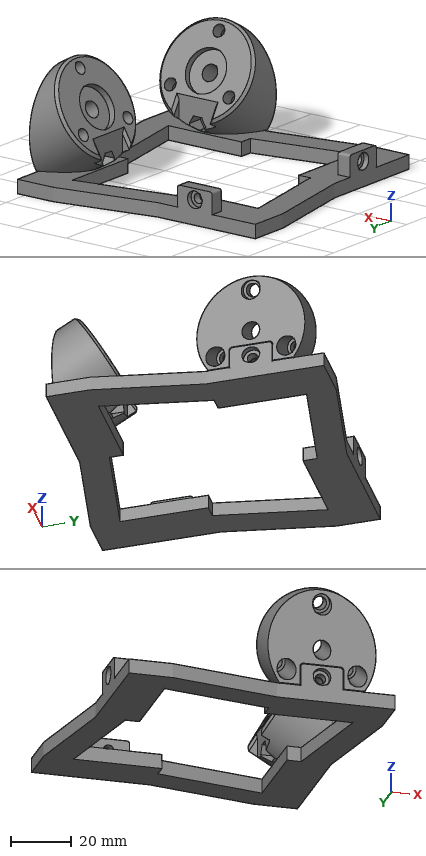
import cadquery as cq
import math

FRAME_SIZE = 100.0
CORNER_SETBACK = 7.0
BASE_THICKNESS = 5.0
PAD_WIDTH = 15.0
ARM_WIDTH = 10.0
PAD_END = -9.6

TAB_OFFSET = 25.0
TAB_WIDTH = 14.4
TAB_THICKNESS = 5.0
TAB_TOP = 12.7
TAB_FILLET = 1.0
SCREW_HEIGHT = 8.8
SCREW_DIAMETER = 3.5
SCREW_HEAD_DIAMETER = 6.0
SCREW_HEAD_DEPTH = 2.0

MOUNT_DIAMETER = 37.0
MOUNT_TILT = 30.0
FACE_SETBACK = 14.0
FACE_HEIGHT = 26.4
FACE_CHAMFER = 1.0
MOUNT_LENGTH = 60.0
FIT_GAP = 0.3

RECESS_DIAMETER = 16.0
RECESS_DEPTH = 2.5
CENTRE_HOLE_DIAMETER = 6.0
BOLT_CIRCLE_RADIUS = 14.0
BOLT_COUNT = 3
BOLT_DIAMETER = 4.5
BOLT_HEAD_DIAMETER = 6.5
BOLT_GRIP = 5.0

NOTCH_WIDTH = 15.0
NOTCH_WALL = 18.7
NUT_ACROSS_FLATS = 5.8
NUT_POCKET_DEPTH = 6.0

HALF = FRAME_SIZE / 2
SIDE = HALF - CORNER_SETBACK
PAD_INNER = SIDE - PAD_WIDTH
ARM_SLOPE = CORNER_SETBACK / (PAD_INNER - PAD_END)
ARM_SPAN = ARM_WIDTH * math.hypot(1, ARM_SLOPE)


def quarter_turned(points, turns):
    """Turn points clockwise about the origin by a number of quarter turns."""
    for _ in range(turns):
        points = [(y, -x) for x, y in points]
    return points


def ring(points):
    """Repeat one side's points on all four sides."""
    return [p for turns in range(4) for p in quarter_turned(points, turns)]


def arm_inner_edge(x):
    return SIDE + ARM_SLOPE * (x - PAD_END) - ARM_SPAN


def box(x_size, y_min, y_max, z_min, z_max):
    """Box centred on the YZ plane."""
    return (
        cq.Workplane("XY", origin=(0, (y_min + y_max) / 2, z_min))
        .box(x_size, y_max - y_min, z_max - z_min, centered=(True, True, False))
    )


def screw_line(diameter, y_min, y_max):
    """Cylinder along Y at the screw height."""
    return (
        cq.Workplane("XZ", origin=(0, y_min, SCREW_HEIGHT))
        .circle(diameter / 2)
        .extrude(y_min - y_max)
    )


def place_on_side(body, turns):
    """Move a body with its outer face on y = 0 to the tab position of a side."""
    return body.translate((TAB_OFFSET, -SIDE, 0)).rotate((0, 0, 0), (0, 0, 1), 90 * turns)


def make_tab():
    tab = box(TAB_WIDTH, 0, TAB_THICKNESS, 0, TAB_TOP)
    return tab.edges("|Y and >Z").fillet(TAB_FILLET)


def make_frame():
    outer = [(-HALF, SIDE), (PAD_END, SIDE), (PAD_INNER, HALF)]
    inner_corner = arm_inner_edge(PAD_INNER)
    inner = [(-inner_corner, PAD_INNER), (PAD_END, PAD_INNER), (PAD_END, arm_inner_edge(PAD_END))]
    frame = (
        cq.Workplane("XY")
        .polyline(ring(outer)).close()
        .polyline(ring(inner)).close()
        .extrude(BASE_THICKNESS)
    )
    hole = screw_line(SCREW_DIAMETER, 0, TAB_THICKNESS)
    hole = hole.union(screw_line(SCREW_HEAD_DIAMETER, 0, SCREW_HEAD_DEPTH))
    for turns in range(4):
        frame = frame.union(place_on_side(make_tab(), turns))
        frame = frame.cut(place_on_side(hole, turns))
    return frame


def face_plane():
    tilt = math.radians(MOUNT_TILT)
    return cq.Plane(
        origin=(0, FACE_SETBACK, FACE_HEIGHT),
        xDir=(1, 0, 0),
        normal=(0, math.cos(tilt), math.sin(tilt)),
    )


def cut_face_holes(mount):
    face = cq.Workplane(face_plane())
    seat = face.workplane(offset=-BOLT_GRIP)
    mount = mount.cut(face.circle(RECESS_DIAMETER / 2).extrude(-RECESS_DEPTH))
    mount = mount.cut(face.circle(CENTRE_HOLE_DIAMETER / 2).extrude(-MOUNT_LENGTH))
    return mount.cut(bolts(face, BOLT_DIAMETER)).cut(bolts(seat, BOLT_HEAD_DIAMETER))


def bolts(plane, diameter):
    """Bolt cylinders running back from a plane, with one bolt at the top."""
    return (
        plane.polarArray(BOLT_CIRCLE_RADIUS, -90, 360, BOLT_COUNT)
        .circle(diameter / 2)
        .extrude(-MOUNT_LENGTH)
    )


def make_mount():
    reach = MOUNT_LENGTH
    bottom = BASE_THICKNESS + FIT_GAP
    mount = cq.Workplane(face_plane()).circle(MOUNT_DIAMETER / 2).extrude(-MOUNT_LENGTH)
    mount = mount.cut(box(NOTCH_WIDTH, NOTCH_WALL, reach, -reach, reach))
    mount = mount.faces(cq.selectors.DirectionNthSelector(face_plane().zDir, -1)).edges("not |X")
    mount = mount.chamfer(FACE_CHAMFER)
    mount = mount.intersect(box(MOUNT_DIAMETER, 0, reach, bottom, reach))
    mount = cut_face_holes(mount)
    pocket = box(TAB_WIDTH + 2 * FIT_GAP, 0, TAB_THICKNESS + FIT_GAP, 0, TAB_TOP + FIT_GAP)
    mount = mount.cut(pocket.edges("|Y and >Z").fillet(TAB_FILLET + FIT_GAP))
    mount = mount.cut(screw_line(SCREW_DIAMETER, 0, NOTCH_WALL))
    nut = (
        cq.Workplane("XZ", origin=(0, NOTCH_WALL - NUT_POCKET_DEPTH, SCREW_HEIGHT))
        .transformed(rotate=(0, 0, 30))
        .polygon(6, NUT_ACROSS_FLATS, circumscribed=True)
        .extrude(-reach)
    )
    return mount.cut(nut)


frame = make_frame()
mounts = [place_on_side(make_mount(), turns) for turns in range(2)]

result = cq.Compound.makeCompound([frame.val(), *[mount.val() for mount in mounts]])